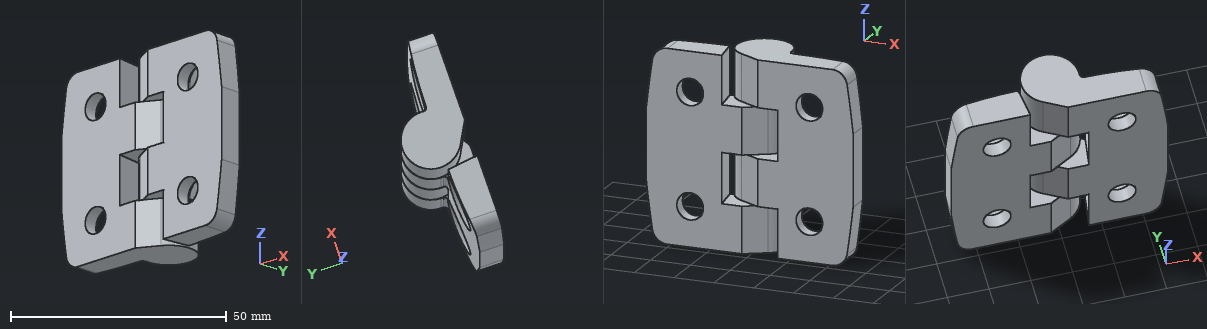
import cadquery as cq
import math

half_width = 26.0
height = 48.0
half_height = height / 2
total_depth = 16.0

barrel_radius = 6.95
barrel_y = total_depth - barrel_radius
knuckle_count = 4
knuckle_gap = 0.4
knuckle_height = (height - (knuckle_count - 1) * knuckle_gap) / knuckle_count
knuckle_pitch = knuckle_height + knuckle_gap
pin_diameter = 6.0

root_thickness = 7.55
edge_thickness = 6.0
root_fillet = 0.9
flank_start_x = 2.05

pocket_wall_front_x = 7.0
pocket_wall_back_x = 8.0

straight_half_length = 8.95
corner_x = 23.95
shoulder_bow = 0.1
corner_radius = 3.8

hole_diameter = 6.6
hole_x = 15.0
hole_z = 14.0
countersink_start_y = 3.6
countersink_half_angle = 45.0


def along_z(bottom):
    """Workplane with local axes X and Y, raised to the given Z."""
    return cq.Workplane("XY").workplane(offset=bottom)


def knuckle_bottom(index):
    """Lower Z of a knuckle, counted from the top of the hinge."""
    return half_height - knuckle_height - index * knuckle_pitch


def leaf_section():
    """Right-hand leaf with its knuckle, extruded over the full height."""
    axis_distance = math.hypot(flank_start_x, barrel_y)
    flank_angle = math.acos(barrel_radius / axis_distance) - math.atan(flank_start_x / barrel_y)
    tangent_x = -barrel_radius * math.sin(flank_angle)
    tangent_y = barrel_y - barrel_radius * math.cos(flank_angle)

    fillet_end_x = barrel_radius + root_fillet
    crown_run = half_width - fillet_end_x
    crown_drop = root_thickness - edge_thickness
    crown_radius = (crown_run ** 2 + crown_drop ** 2) / (2 * crown_drop)
    return (
        along_z(-half_height)
        .moveTo(fillet_end_x, root_thickness)
        .radiusArc((half_width, edge_thickness), crown_radius)
        .lineTo(half_width, 0)
        .lineTo(flank_start_x, 0)
        .lineTo(tangent_x, tangent_y)
        .threePointArc((0, total_depth), (barrel_radius, barrel_y))
        .lineTo(barrel_radius, root_thickness + root_fillet)
        .radiusArc((fillet_end_x, root_thickness), -root_fillet)
        .close()
        .extrude(height)
    )


def leaf_outline():
    """Face outline of the right-hand leaf, used to trim the section."""
    mid_x = (half_width + corner_x) / 2 + shoulder_bow
    mid_z = (straight_half_length + half_height) / 2
    inner_x = -barrel_radius
    return (
        cq.Workplane("XZ")
        .moveTo(inner_x, -half_height)
        .lineTo(corner_x, -half_height)
        .threePointArc((mid_x, -mid_z), (half_width, -straight_half_length))
        .lineTo(half_width, straight_half_length)
        .threePointArc((mid_x, mid_z), (corner_x, half_height))
        .lineTo(inner_x, half_height)
        .close()
        .extrude(-total_depth)
        .edges("|Y and (>Z or <Z)")
        .edges(">X")
        .fillet(corner_radius)
    )


def pocket(index):
    """Space for an opposite knuckle and the gaps above and below it."""
    wall_slope = (pocket_wall_back_x - pocket_wall_front_x) / root_thickness
    wall_top_x = pocket_wall_front_x + wall_slope * total_depth
    return (
        along_z(knuckle_bottom(index) - knuckle_gap)
        .polyline([
            (-half_width, 0),
            (pocket_wall_front_x, 0),
            (wall_top_x, total_depth),
            (-half_width, total_depth),
        ])
        .close()
        .extrude(knuckle_height + 2 * knuckle_gap)
    )


def countersunk_hole(z):
    """Through hole opening into a cone on the crowned back of the leaf."""
    hole_radius = hole_diameter / 2
    cone_radius = hole_x - barrel_radius
    cone_depth = (cone_radius - hole_radius) / math.tan(math.radians(countersink_half_angle))
    cone_top_y = countersink_start_y + cone_depth
    return (
        cq.Workplane("XY", origin=(hole_x, 0, z))
        .polyline([
            (0, 0),
            (hole_radius, 0),
            (hole_radius, countersink_start_y),
            (cone_radius, cone_top_y),
            (0, cone_top_y),
        ])
        .close()
        .revolve(360, (0, 0, 0), (0, 1, 0))
    )


def right_leaf(pocket_indices):
    """Right-hand leaf with pockets at the given knuckle positions."""
    leaf = leaf_section().intersect(leaf_outline())
    for index in pocket_indices:
        leaf = leaf.cut(pocket(index))
    for z in (-hole_z, hole_z):
        leaf = leaf.cut(countersunk_hole(z))
    return leaf


def hinge_pin():
    """Pin joining the knuckles, flush with both ends of the barrel."""
    return along_z(-half_height).center(0, barrel_y).circle(pin_diameter / 2).extrude(height)


right = right_leaf(range(1, knuckle_count, 2))
left = right_leaf(range(0, knuckle_count, 2)).mirror("YZ")
result = right.union(left).union(hinge_pin())